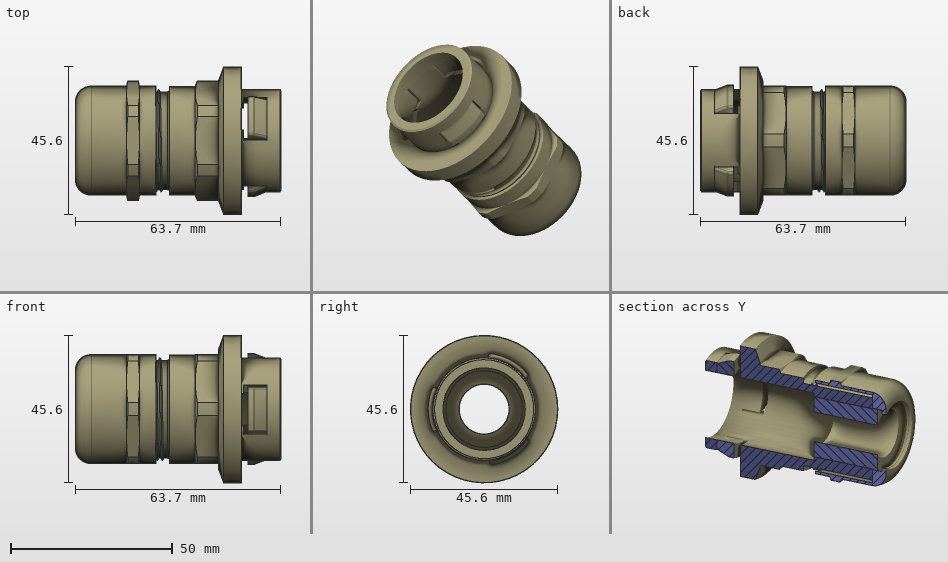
import cadquery as cq
import math

TOTAL_LENGTH = 63.7

CAP_DIAMETER = 33.75
CAP_LENGTH = 24.95
CAP_DOME_RADIUS = 4.95
CAP_MOUTH_DIAMETER = 21.6
CAP_MOUTH_DEPTH = 1.0
CAP_LIP_DIAMETER = 21.25
CAP_LIP_DEPTH = 1.65
CAP_HEX_START = 15.85
CAP_HEX_END = 19.85
CAP_HEX_CHAMFER = 0.4

HEX_SIDES = 6
HEX_ACROSS_FLATS = CAP_DIAMETER
HEX_CORNER_DIAMETER = 36.85

SEAL_DIAMETER = 23.7
SEAL_BORE = 15.4
SEAL_START = 3.05
SEAL_END = 25.45

THREAD_ROOT_DIAMETER = 30.25
THREAD_CREST_DIAMETER = 31.8
THREAD_PITCH = 1.5
THREAD_TURNS = 2
THREAD_END = 26.95
THREAD_FLANK_ANGLE = 30.0
THREAD_SINK = 0.1

COLLAR_START = 29.1
COLLAR_DIAMETER = 33.5
NECK_CONE_LENGTH = 0.6
NECK_CONE_RISE = 0.25
BODY_HEX_START = 37.05
BODY_HEX_CHAMFER = 0.7
FLANGE_START = 44.3
FLANGE_END = 51.4
FLANGE_DIAMETER = 45.6
FLANGE_FACE_DIAMETER = 37.05
FLANGE_CONE_LENGTH = 1.6
BARREL_DIAMETER = 31.8
BARREL_BORE = 25.45
BARREL_CHAMFER_LENGTH = 0.4
BARREL_CHAMFER_DEPTH = 0.6

LATCH_COUNT = 3
LATCH_TURN = 0.7
LATCH_START = 53.35
LATCH_END = 59.35
LATCH_CREST_RADIUS = 17.3
LATCH_CREST_LENGTH = 1.9
LATCH_TAIL_RADIUS = 15.65
LATCH_WIDTH = 13.9
LATCH_EDGE_FILLET = 0.9
LATCH_CREST_FILLET = 0.95
WINDOW_START = 51.95
WINDOW_WIDTH = 15.15
NOTCH_WIDTH = 10.05

CAP_RADIUS = CAP_DIAMETER / 2
THREAD_ROOT_RADIUS = THREAD_ROOT_DIAMETER / 2
THREAD_CREST_RADIUS = THREAD_CREST_DIAMETER / 2
BARREL_RADIUS = BARREL_DIAMETER / 2
LATCH_ANGLES = [180 + LATCH_TURN + i * 360 / LATCH_COUNT for i in range(LATCH_COUNT)]


def turned(points):
    """Revolve a closed (x, radius) outline about the X axis."""
    return cq.Workplane("XY").polyline(points).close().revolve(360, (0, 0, 0), (1, 0, 0))


def cylinder(start, end, diameter):
    """A round bar along X."""
    return cq.Workplane("YZ", origin=(start, 0, 0)).circle(diameter / 2).extrude(end - start)


def radial_block(start, end, width):
    """A block on the +Y side, running from the axis to beyond the barrel wall."""
    return cq.Workplane("XY").box(
        end - start, FLANGE_DIAMETER / 2, width, centered=(False, False, True)
    ).translate((start, 0, 0))


def about_axis(shape, angle):
    """Turn a shape about the X axis by an angle in degrees."""
    return shape.rotate((0, 0, 0), (1, 0, 0), angle)


def hexagon(start, end, rim_radius, chamfer):
    """A hexagon with flats at +Z and -Z, its corners turned down and both ends coned to the rim radius."""
    corner_radius = HEX_CORNER_DIAMETER / 2
    blank = turned([
        (start, 0),
        (start, rim_radius),
        (start + chamfer, corner_radius),
        (end - chamfer, corner_radius),
        (end, rim_radius),
        (end, 0),
    ])
    prism = (
        cq.Workplane("YZ", origin=(start, 0, 0))
        .polygon(HEX_SIDES, HEX_ACROSS_FLATS, circumscribed=True)
        .extrude(end - start)
    )
    return blank.intersect(about_axis(prism, 180 / HEX_SIDES))


def make_cap():
    dome_centre_radius = CAP_RADIUS - CAP_DOME_RADIUS
    dome_offset = CAP_DOME_RADIUS * math.sqrt(0.5)
    shell = (
        cq.Workplane("XY")
        .lineTo(0, dome_centre_radius)
        .threePointArc(
            (CAP_DOME_RADIUS - dome_offset, dome_centre_radius + dome_offset),
            (CAP_DOME_RADIUS, CAP_RADIUS),
        )
        .lineTo(CAP_LENGTH, CAP_RADIUS)
        .lineTo(CAP_LENGTH, 0)
        .close()
        .revolve(360, (0, 0, 0), (1, 0, 0))
    )
    grip = hexagon(CAP_HEX_START, CAP_HEX_END, CAP_RADIUS, CAP_HEX_CHAMFER)
    mouth = cylinder(0, CAP_MOUTH_DEPTH, CAP_MOUTH_DIAMETER)
    lip_hole = cylinder(0, CAP_LIP_DEPTH, CAP_LIP_DIAMETER)
    seal_bore = cylinder(CAP_LIP_DEPTH, CAP_LENGTH, SEAL_DIAMETER)
    thread_bore = cylinder(CAP_DOME_RADIUS, CAP_LENGTH, THREAD_CREST_DIAMETER)
    cap = shell.union(grip)
    for bore in (mouth, lip_hole, seal_bore, thread_bore):
        cap = cap.cut(bore)
    return cap


def make_seal():
    return cylinder(SEAL_START, SEAL_END, SEAL_DIAMETER).cut(cylinder(SEAL_START, SEAL_END, SEAL_BORE))


def make_thread():
    """A right-hand ridge of triangular section that starts and ends on the -Z side."""
    height = THREAD_PITCH * THREAD_TURNS
    base_radius = THREAD_ROOT_RADIUS - THREAD_SINK
    half_base = (THREAD_CREST_RADIUS - base_radius) * math.tan(math.radians(THREAD_FLANK_ANGLE))
    helix = cq.Wire.makeHelix(THREAD_PITCH, height, THREAD_ROOT_RADIUS)
    ridge = (
        cq.Workplane("XZ")
        .polyline([(base_radius, -half_base), (THREAD_CREST_RADIUS, 0), (base_radius, half_base)])
        .close()
        .sweep(cq.Workplane(helix), isFrenet=True)
    )
    return ridge.rotate((0, 0, 0), (0, 1, 0), 90).translate((THREAD_END - height, 0, 0))


def make_body():
    collar_radius = COLLAR_DIAMETER / 2
    flange_radius = FLANGE_DIAMETER / 2
    core = turned([
        (CAP_DOME_RADIUS, 0),
        (CAP_DOME_RADIUS, THREAD_ROOT_RADIUS),
        (COLLAR_START - NECK_CONE_LENGTH, THREAD_ROOT_RADIUS),
        (COLLAR_START, THREAD_ROOT_RADIUS + NECK_CONE_RISE),
        (COLLAR_START, collar_radius),
        (FLANGE_START, collar_radius),
        (FLANGE_START, FLANGE_FACE_DIAMETER / 2),
        (FLANGE_START + FLANGE_CONE_LENGTH, flange_radius),
        (FLANGE_END, flange_radius),
        (FLANGE_END, BARREL_RADIUS),
        (TOTAL_LENGTH - BARREL_CHAMFER_LENGTH, BARREL_RADIUS),
        (TOTAL_LENGTH, BARREL_RADIUS - BARREL_CHAMFER_DEPTH),
        (TOTAL_LENGTH, 0),
    ])
    grip = hexagon(BODY_HEX_START, FLANGE_END, collar_radius, BODY_HEX_CHAMFER)
    body = core.union(grip).union(make_thread())
    body = body.cut(cylinder(CAP_DOME_RADIUS, SEAL_END, SEAL_DIAMETER))
    body = body.cut(cylinder(SEAL_END, TOTAL_LENGTH, BARREL_BORE))
    window = radial_block(WINDOW_START, LATCH_END, WINDOW_WIDTH)
    notch = radial_block(FLANGE_END, WINDOW_START, NOTCH_WIDTH)
    for angle in LATCH_ANGLES:
        body = body.cut(about_axis(window, angle))
        body = body.cut(about_axis(notch, angle))
    return body


def make_latch():
    """A snap latch on the +Y side: a crest next to the flange and a ramp down to the barrel surface."""
    crest_end = LATCH_START + LATCH_CREST_LENGTH
    ring = turned([
        (LATCH_START, BARREL_BORE / 2),
        (LATCH_START, LATCH_CREST_RADIUS),
        (crest_end, LATCH_CREST_RADIUS),
        (LATCH_END, LATCH_TAIL_RADIUS),
        (LATCH_END, BARREL_BORE / 2),
    ])
    latch = ring.intersect(radial_block(LATCH_START, LATCH_END, LATCH_WIDTH))
    crest_edge = cq.selectors.NearestToPointSelector((crest_end, LATCH_CREST_RADIUS, 0))
    latch = latch.edges(crest_edge).fillet(LATCH_CREST_FILLET)
    return latch.faces("|Z").edges("not(|Y or <Y)").fillet(LATCH_EDGE_FILLET)


cap = make_cap()
seal = make_seal()
body = make_body()
latch = make_latch()
latches = [about_axis(latch, angle) for angle in LATCH_ANGLES]

result = cq.Compound.makeCompound([
    cap.val(),
    seal.val(),
    body.val(),
    *[placed.val() for placed in latches],
])